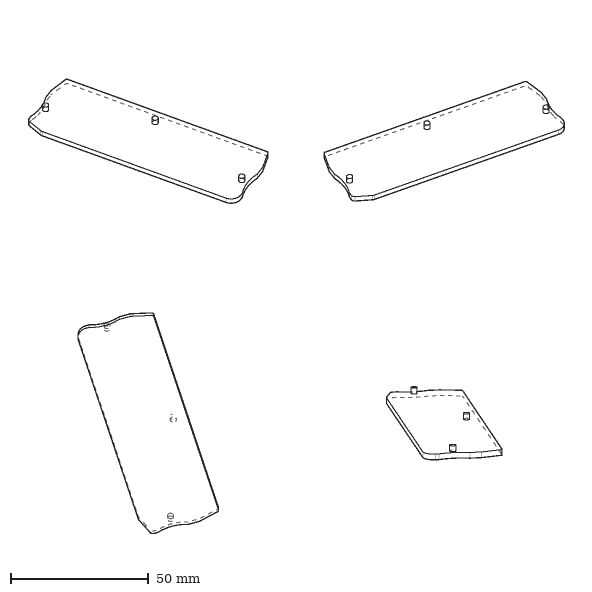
import cadquery as cq

length = 87.2
width = 29.0
plate_thickness = 2.2

taper_start_y = 21.0
taper_inset = 2.0
rear_corner_radius = 0.7

grip_center_y = 11.0
grip_half_width = 5.75
grip_depth = 1.0

bevel_run = 7.15
bevel_rise = 2.9
bevel_end_radius = 1.4
bevel_front_radius = 2.3
front_round_radius = 4.0

pin_diameter = 2.3
pin_height = 2.2
pin_centers = [
    (3.05, grip_center_y),
    (length - 3.3, grip_center_y),
    (41.5, 23.55),
]


def make_plate():
    grip_front_y = grip_center_y - grip_half_width
    grip_rear_y = grip_center_y + grip_half_width
    plate = (
        cq.Workplane("XY")
        .moveTo(bevel_run, 0)
        .lineTo(length, 0)
        .lineTo(length, grip_front_y)
        .threePointArc((length - grip_depth, grip_center_y), (length, grip_rear_y))
        .lineTo(length, taper_start_y)
        .lineTo(length - taper_inset, width)
        .lineTo(taper_inset, width)
        .lineTo(0, taper_start_y)
        .lineTo(0, grip_rear_y)
        .threePointArc((grip_depth, grip_center_y), (0, grip_front_y))
        .lineTo(0, bevel_rise)
        .close()
        .extrude(plate_thickness)
    )
    plate = round_corner(plate, length, 0, front_round_radius)
    plate = round_corner(plate, bevel_run, 0, bevel_front_radius)
    plate = round_corner(plate, 0, bevel_rise, bevel_end_radius)
    return plate.edges("|Z and >Y").fillet(rear_corner_radius)


def round_corner(plate, x, y, radius):
    """Fillet the vertical edge nearest the given outline corner."""
    corner = cq.selectors.NearestToPointSelector((x, y, plate_thickness / 2))
    return plate.edges("|Z").edges(corner).fillet(radius)


def make_pins():
    return (
        cq.Workplane("XY")
        .pushPoints(pin_centers)
        .circle(pin_diameter / 2)
        .extrude(plate_thickness + pin_height)
    )


result = make_plate().union(make_pins())